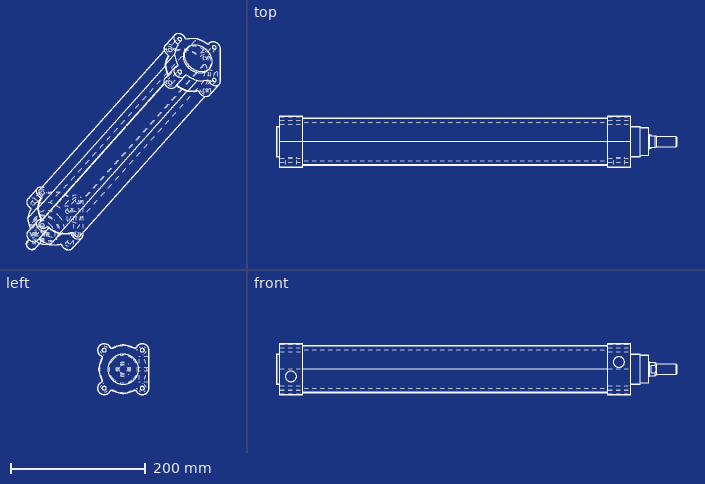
import cadquery as cq
import math

TOTAL_LENGTH = 594.0
BOSS_LENGTH = 4.0
CAP_LENGTH = 34.5
BARREL_LENGTH = 452.0
COLLAR_LENGTH = 14.0
WIPER_LENGTH = 12.5
LIP_LENGTH = 1.0
REAR_CAP_X = BOSS_LENGTH
BARREL_X = REAR_CAP_X + CAP_LENGTH
FRONT_CAP_X = BARREL_X + BARREL_LENGTH
COLLAR_X = FRONT_CAP_X + CAP_LENGTH
WIPER_X = COLLAR_X + COLLAR_LENGTH
LIP_X = WIPER_X + WIPER_LENGTH
ROD_X = LIP_X + LIP_LENGTH

CAP_HALF_WIDTH = 38.0
EAR_SPACING = 56.5
EAR_OFFSET = EAR_SPACING / 2
EAR_DISTANCE = EAR_OFFSET * math.sqrt(2)
CAP_EAR_RADIUS = CAP_HALF_WIDTH - EAR_OFFSET
CAP_RADIUS = 35.5
CAP_RIDGE_HALF_WIDTH = 8.5
BARREL_EAR_RADIUS = 6.0
BARREL_RADIUS = 34.5
BARREL_RIDGE_HALF_WIDTH = 6.5
EAR_ROOT_FILLET = 2.0
TOLERANCE = 0.05

BOSS_RADIUS = 22.5
WIPER_RADIUS = 21.0
LIP_RADIUS = 10.5
SCREW_HOLE_DIAMETER = 6.0
PORT_DIAMETER = 16.0
PORT_DEPTH = 15.0
PORT_OFFSET = 10.5

ROD_RADIUS = 10.0
ROD_LENGTH = 10.5
FLAT_START = 2.5
FLAT_WIDTH = 17.0
THREAD_DIAMETER = 16.0
THREAD_RADIUS = THREAD_DIAMETER / 2
TIP_CHAMFER = 2.0


def cross_section(x):
    """Sketch plane across the axis at x; its local axes are Y and Z."""
    return cq.Workplane("YZ", origin=(x, 0, 0))


def cylinder(x, radius, length):
    return cross_section(x).circle(radius).extrude(length)


def diagonal_plane(x, quarter):
    """Cross-section plane whose first axis runs from the part axis towards one ear."""
    return cross_section(x).transformed(rotate=(0, 0, 45 + 90 * quarter))


def eared_cylinder(x, length, radius, ear_radius, ridge_half_width):
    """Cylinder with four round ears and a low ridge midway between each pair of ears.

    A ridge is formed by two flats that leave the cylinder tangentially and meet in an edge.
    """
    flat_edge = math.sqrt(radius**2 - ridge_half_width**2)
    ridge_top = radius**2 / flat_edge
    ridge_outline = [
        (0, 0),
        (flat_edge, -ridge_half_width),
        (ridge_top, 0),
        (flat_edge, ridge_half_width),
    ]
    body = cylinder(x, radius, length)
    for quarter in range(4):
        ear = diagonal_plane(x, quarter).center(EAR_DISTANCE, 0).circle(ear_radius).extrude(length)
        ridge_plane = cross_section(x).transformed(rotate=(0, 0, 90 * quarter))
        ridge = ridge_plane.polyline(ridge_outline).close().extrude(length)
        body = body.union(ear).union(ridge)
    return body


def soften_ear_roots(body, radius):
    """Fillet the inner corners where the ears, or their necks, leave the cylinder."""

    def is_ear_root(edge):
        point = edge.Center()
        on_cylinder = abs(math.hypot(point.y, point.z) - radius) < TOLERANCE
        near_diagonal = abs(abs(point.y) - abs(point.z)) < 2 * CAP_EAR_RADIUS
        return on_cylinder and near_diagonal

    roots = body.edges("|X").filter(is_ear_root)
    return roots.fillet(EAR_ROOT_FILLET)


def make_cap(x, port_z):
    """Eared cap with a flat port side at -Y and four screw holes through the ears."""
    port_side = (
        cross_section(x)
        .center(-CAP_HALF_WIDTH / 2, 0)
        .rect(CAP_HALF_WIDTH, EAR_SPACING)
        .extrude(CAP_LENGTH)
    )
    screw_holes = (
        cross_section(x)
        .rect(EAR_SPACING, EAR_SPACING, forConstruction=True)
        .vertices()
        .circle(SCREW_HOLE_DIAMETER / 2)
        .extrude(CAP_LENGTH)
    )
    port = (
        cq.Workplane("XZ", origin=(x + CAP_LENGTH / 2, -CAP_HALF_WIDTH, port_z))
        .circle(PORT_DIAMETER / 2)
        .extrude(-PORT_DEPTH)
    )
    cap = eared_cylinder(x, CAP_LENGTH, CAP_RADIUS, CAP_EAR_RADIUS, CAP_RIDGE_HALF_WIDTH)
    cap = soften_ear_roots(cap, CAP_RADIUS)
    return cap.union(port_side).cut(screw_holes).cut(port)


def make_rear_cap():
    """Closed cap with a low centring boss at the rear end."""
    boss = cylinder(0, BOSS_RADIUS, BOSS_LENGTH)
    return make_cap(REAR_CAP_X, -PORT_OFFSET).union(boss)


def make_front_cap():
    """Cap with a stepped collar that ends in a lip against the rod."""
    collar = cylinder(COLLAR_X, BOSS_RADIUS, COLLAR_LENGTH)
    wiper = cylinder(WIPER_X, WIPER_RADIUS, WIPER_LENGTH)
    lip = cylinder(LIP_X, LIP_RADIUS, LIP_LENGTH)
    return make_cap(FRONT_CAP_X, PORT_OFFSET).union(collar).union(wiper).union(lip)


def make_barrel():
    """Eared profile whose small ears stand on straight necks as wide as the ears."""
    barrel = eared_cylinder(
        BARREL_X, BARREL_LENGTH, BARREL_RADIUS, BARREL_EAR_RADIUS, BARREL_RIDGE_HALF_WIDTH
    )
    for quarter in range(4):
        neck = (
            diagonal_plane(BARREL_X, quarter)
            .center(EAR_DISTANCE / 2, 0)
            .rect(EAR_DISTANCE, 2 * BARREL_EAR_RADIUS)
            .extrude(BARREL_LENGTH)
        )
        barrel = barrel.union(neck)
    return soften_ear_roots(barrel, BARREL_RADIUS)


def make_rod():
    """Rod with two wrench flats facing -Y and +Y, and a chamfered threaded stud."""
    rod = cylinder(ROD_X, ROD_RADIUS, ROD_LENGTH).faces(">X").chamfer(ROD_RADIUS - THREAD_RADIUS)
    flats_x = ROD_X + FLAT_START
    flats_length = ROD_LENGTH - FLAT_START
    flat_zone = cylinder(flats_x, ROD_RADIUS, flats_length)
    across_flats = cross_section(flats_x).rect(FLAT_WIDTH, 2 * ROD_RADIUS).extrude(flats_length)
    rod = rod.cut(flat_zone.cut(across_flats))
    stud_x = ROD_X + ROD_LENGTH
    stud = cylinder(stud_x, THREAD_RADIUS, TOTAL_LENGTH - stud_x).faces(">X").chamfer(TIP_CHAMFER)
    return rod.union(stud)


rear_cap = make_rear_cap()
barrel = make_barrel()
front_cap = make_front_cap()
rod = make_rod()

result = cq.Compound.makeCompound([rear_cap.val(), barrel.val(), front_cap.val(), rod.val()])